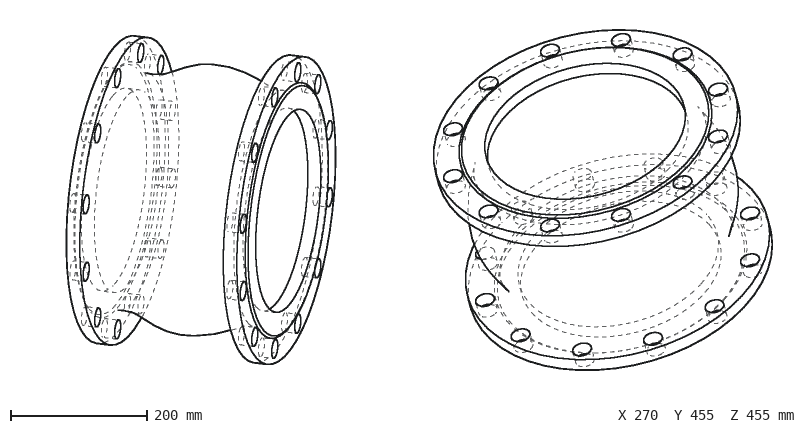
import cadquery as cq
import math

FULL_TURN = 360.0

LENGTH = 270.0
HALF_LENGTH = LENGTH / 2

FLANGE_RADIUS = 455.0 / 2
FLANGE_THICKNESS = 21.0
RAISED_FACE_HEIGHT = 3.0
RAISED_FACE_BASE_RADIUS = 189.0
RAISED_FACE_TIP_RADIUS = 185.0
FLANGE_OUTER_X = HALF_LENGTH - RAISED_FACE_HEIGHT
FLANGE_INNER_X = FLANGE_OUTER_X - FLANGE_THICKNESS

BOLT_COUNT = 12
BOLT_CIRCLE_RADIUS = 410.0 / 2
BOLT_HOLE_DIAMETER = 28.0
BOLT_PITCH_ANGLE = FULL_TURN / BOLT_COUNT

RECESS_RADIUS = 150.0
RECESS_DEPTH = 20.0

NECK_RADIUS = 175.0
NECK_FILLET = 6.5
NECK_END_X = FLANGE_INNER_X - NECK_FILLET
CROWN_X = 4.0
CROWN_RADIUS = 200.0
SLOPE_ANGLE = math.radians(24.0)
LEFT_NECK_STRAIGHT = 11.0
LEFT_NECK_ARC_LENGTH = 26.5
LEFT_CONE_LENGTH = 27.0
RIGHT_NECK_STRAIGHT = 3.0
RIGHT_NECK_ARC_LENGTH = 28.5


def arc_rise(length, angle):
    """Radial rise of an arc that starts parallel to X and turns through angle over length."""
    return length * math.tan(angle / 2)


def arc_middle(flat_end, direction, length, angle):
    """Middle point of such an arc, starting at flat_end and running along +X or -X."""
    bend_radius = length / math.sin(angle)
    return (
        flat_end[0] + direction * bend_radius * math.sin(angle / 2),
        flat_end[1] + bend_radius * (1 - math.cos(angle / 2)),
    )


def make_body():
    """Revolve the outer half profile, from the left end face to the right one."""
    left_flat_end = (-NECK_END_X + LEFT_NECK_STRAIGHT, NECK_RADIUS)
    cone_start = (
        left_flat_end[0] + LEFT_NECK_ARC_LENGTH,
        NECK_RADIUS + arc_rise(LEFT_NECK_ARC_LENGTH, SLOPE_ANGLE),
    )
    cone_end = (
        cone_start[0] + LEFT_CONE_LENGTH,
        cone_start[1] + LEFT_CONE_LENGTH * math.tan(SLOPE_ANGLE),
    )
    right_flat_end = (NECK_END_X - RIGHT_NECK_STRAIGHT, NECK_RADIUS)
    swell_end = (
        right_flat_end[0] - RIGHT_NECK_ARC_LENGTH,
        NECK_RADIUS + arc_rise(RIGHT_NECK_ARC_LENGTH, SLOPE_ANGLE),
    )
    rising = (math.cos(SLOPE_ANGLE), math.sin(SLOPE_ANGLE))
    falling = (math.cos(SLOPE_ANGLE), -math.sin(SLOPE_ANGLE))

    profile = (
        cq.Workplane("XY")
        .moveTo(-HALF_LENGTH, 0)
        .lineTo(-HALF_LENGTH, RAISED_FACE_TIP_RADIUS)
        .lineTo(-FLANGE_OUTER_X, RAISED_FACE_BASE_RADIUS)
        .lineTo(-FLANGE_OUTER_X, FLANGE_RADIUS)
        .lineTo(-FLANGE_INNER_X, FLANGE_RADIUS)
        .lineTo(-FLANGE_INNER_X, NECK_RADIUS + NECK_FILLET)
        .radiusArc((-NECK_END_X, NECK_RADIUS), -NECK_FILLET)
        .lineTo(*left_flat_end)
        .threePointArc(arc_middle(left_flat_end, 1, LEFT_NECK_ARC_LENGTH, SLOPE_ANGLE), cone_start)
        .lineTo(*cone_end)
        .spline(
            [(CROWN_X, CROWN_RADIUS), swell_end],
            tangents=[rising, falling],
            includeCurrent=True,
        )
        .threePointArc(
            arc_middle(right_flat_end, -1, RIGHT_NECK_ARC_LENGTH, SLOPE_ANGLE),
            right_flat_end,
        )
        .lineTo(NECK_END_X, NECK_RADIUS)
        .radiusArc((FLANGE_INNER_X, NECK_RADIUS + NECK_FILLET), -NECK_FILLET)
        .lineTo(FLANGE_INNER_X, FLANGE_RADIUS)
        .lineTo(FLANGE_OUTER_X, FLANGE_RADIUS)
        .lineTo(FLANGE_OUTER_X, RAISED_FACE_BASE_RADIUS)
        .lineTo(HALF_LENGTH, RAISED_FACE_TIP_RADIUS)
        .lineTo(HALF_LENGTH, 0)
        .close()
    )
    return profile.revolve(FULL_TURN, (0, 0, 0), (1, 0, 0))


def make_bolt_holes(flange_start_x):
    """Ring of cylinders that pass through the flange starting at flange_start_x."""
    return (
        cq.Workplane("YZ", origin=(flange_start_x, 0, 0))
        .polarArray(BOLT_CIRCLE_RADIUS, BOLT_PITCH_ANGLE / 2, FULL_TURN, BOLT_COUNT)
        .circle(BOLT_HOLE_DIAMETER / 2)
        .extrude(FLANGE_THICKNESS)
    )


def make_recess(start_x):
    """Cylinder that leaves a shallow blind pocket in an end face."""
    return cq.Workplane("YZ", origin=(start_x, 0, 0)).circle(RECESS_RADIUS).extrude(RECESS_DEPTH)


result = make_body()
for flange_start_x in (-FLANGE_OUTER_X, FLANGE_INNER_X):
    result = result.cut(make_bolt_holes(flange_start_x))
for recess_start_x in (-HALF_LENGTH, HALF_LENGTH - RECESS_DEPTH):
    result = result.cut(make_recess(recess_start_x))